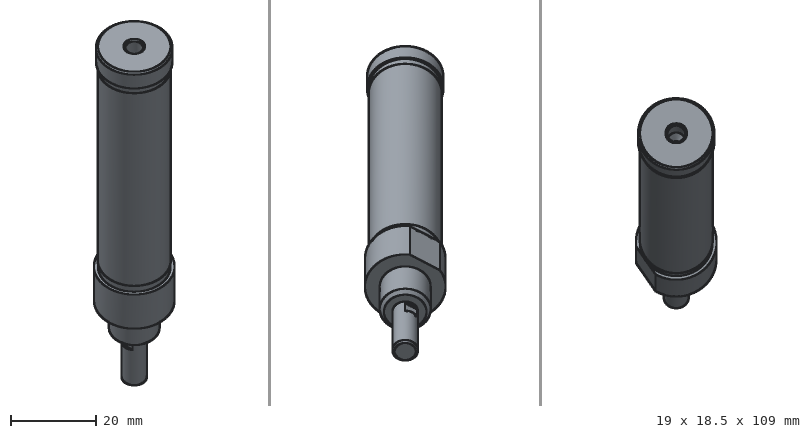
import cadquery as cq

total_length = 109.0
cap_height = 5.0
groove_height = 2.0
collar_top = 36.7
collar_bottom = 25.5
boss_bottom = 15.7

cap_diameter = 18.0
groove_diameter = 17.1
tube_diameter = 17.2
collar_diameter = 19.0
boss_diameter = 12.0
rod_diameter = 6.0

cap_chamfer = 0.5
boss_chamfer = 1.0
rod_chamfer = 0.5

collar_flat_offset = 8.5

wrench_width = 5.0
wrench_flat_bottom = 12.1
wrench_flat_height = 2.9

port_diameter = 4.1
port_mouth_diameter = 5.0
port_depth = 5.0
orifice_diameter = 1.1
orifice_depth = 2.0


def cylinder(diameter, bottom, top):
    """Solid cylinder on the Z axis between two heights."""
    return cq.Workplane("XY").workplane(offset=bottom).circle(diameter / 2).extrude(top - bottom)


def make_tube():
    """Main barrel with a shallow groove next to the collar and next to the cap."""
    cap_bottom = total_length - cap_height
    core = cylinder(groove_diameter, collar_top, cap_bottom)
    sleeve = cylinder(tube_diameter, collar_top + groove_height, cap_bottom - groove_height)
    return core.union(sleeve)


def make_cap():
    """End cap with a chamfered top edge."""
    cap = cylinder(cap_diameter, total_length - cap_height, total_length)
    return cap.faces(">Z").chamfer(cap_chamfer)


def make_collar():
    """Front collar with one side cut flat."""
    height = collar_top - collar_bottom
    keep = cq.Workplane("XY").box(collar_diameter, collar_diameter, height, centered=(True, True, False))
    keep = keep.translate((0, collar_flat_offset - collar_diameter / 2, collar_bottom))
    return cylinder(collar_diameter, collar_bottom, collar_top).intersect(keep)


def make_boss():
    """Nose boss below the collar with a chamfered lower edge."""
    return cylinder(boss_diameter, boss_bottom, collar_bottom).faces("<Z").chamfer(boss_chamfer)


def make_rod():
    """Piston rod with a chamfered tip and two wrench flats facing -Y and +Y."""
    rod = cylinder(rod_diameter, 0, boss_bottom).faces("<Z").chamfer(rod_chamfer)
    for side in (-1, 1):
        cutter = cq.Workplane("XY").box(
            rod_diameter, rod_diameter, wrench_flat_height, centered=(True, True, False)
        )
        cutter_offset = side * (wrench_width + rod_diameter) / 2
        rod = rod.cut(cutter.translate((0, cutter_offset, wrench_flat_bottom)))
    return rod


def make_port():
    """Revolved void of the port, with 45 degree mouth and bottom cones."""
    mouth_radius = port_mouth_diameter / 2
    bore_radius = port_diameter / 2
    orifice_radius = orifice_diameter / 2
    mouth_bottom = total_length - (mouth_radius - bore_radius)
    bore_bottom = total_length - port_depth
    cone_bottom = bore_bottom - (bore_radius - orifice_radius)
    profile = [
        (0, total_length),
        (mouth_radius, total_length),
        (bore_radius, mouth_bottom),
        (bore_radius, bore_bottom),
        (orifice_radius, cone_bottom),
        (orifice_radius, cone_bottom - orifice_depth),
        (0, cone_bottom - orifice_depth),
    ]
    return cq.Workplane("XZ").polyline(profile).close().revolve(360, (0, 0, 0), (0, 1, 0))


result = make_tube()
for section in (make_cap(), make_collar(), make_boss(), make_rod()):
    result = result.union(section)
result = result.cut(make_port())